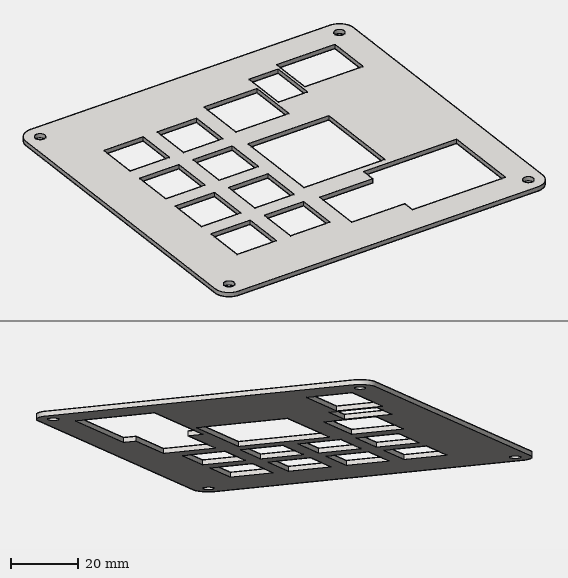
import cadquery as cq

plate_width = 111.0
plate_length = 117.0
plate_thickness = 1.5
corner_radius = 5.0
screw_hole_diameter = 3.4

window_margin = 10.0

bar_width = 1.0
upper_window_width = 15.1
upper_window_height = 20.8
middle_window_left = 12.3
middle_window_width = 15.7
middle_window_height = 10.4
lower_window_left = 18.0
lower_window_width = 17.1
lower_window_height = 19.0
middle_window_top = window_margin + upper_window_height + bar_width
lower_window_top = middle_window_top + middle_window_height + bar_width

wide_part_width = 26.1
wide_part_left = plate_width - window_margin - wide_part_width
narrow_part_left = 79.9
narrow_part_width = lower_window_width
narrow_part_bottom = lower_window_top + lower_window_height

key_size = 14.0
key_pitch = 19.1
key_columns = 4
key_rows = 2
key_grid_left = 22.1
key_grid_top = 67.5
key_grid_width = (key_columns - 1) * key_pitch + key_size

display_width = 30.0
display_height = 28.9
display_left = key_grid_left + (key_grid_width - display_width) / 2
display_top = 34.0


def window(left, top, width, height):
    """Rectangular through-cutter placed from the left and top plate edges."""
    center_x = left + width / 2 - plate_width / 2
    center_y = plate_length / 2 - top - height / 2
    return (
        cq.Workplane("XY")
        .center(center_x, center_y)
        .rect(width, height)
        .extrude(plate_thickness)
    )


result = (
    cq.Workplane("XY")
    .rect(plate_width, plate_length)
    .extrude(plate_thickness)
    .edges("|Z")
    .fillet(corner_radius)
    .faces(">Z")
    .workplane()
    .rect(plate_width - 2 * corner_radius, plate_length - 2 * corner_radius, forConstruction=True)
    .vertices()
    .hole(screw_hole_diameter)
)

result = result.cut(window(window_margin, window_margin, upper_window_width, upper_window_height))
result = result.cut(
    window(middle_window_left, middle_window_top, middle_window_width, middle_window_height)
)
result = result.cut(
    window(lower_window_left, lower_window_top, lower_window_width, lower_window_height)
)

result = result.cut(
    window(wide_part_left, window_margin, wide_part_width, lower_window_top - window_margin)
)
result = result.cut(
    window(narrow_part_left, window_margin, narrow_part_width, narrow_part_bottom - window_margin)
)

result = result.cut(window(display_left, display_top, display_width, display_height))

for row in range(key_rows):
    for column in range(key_columns):
        key_left = key_grid_left + column * key_pitch
        key_top = key_grid_top + row * key_pitch
        result = result.cut(window(key_left, key_top, key_size, key_size))